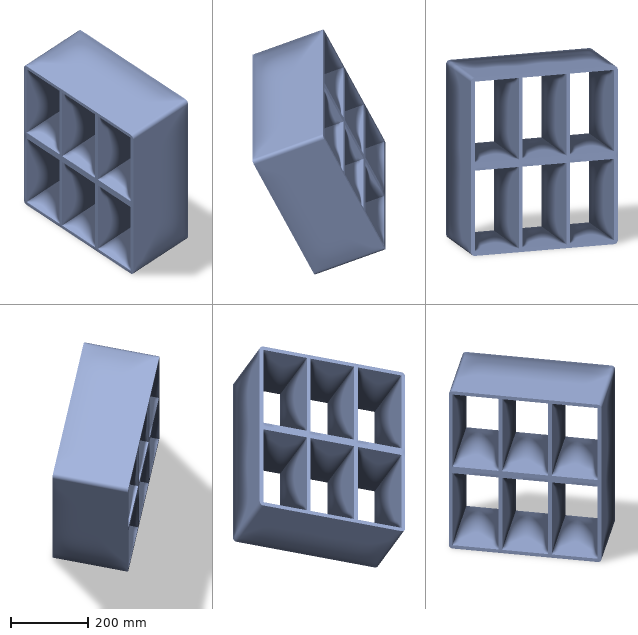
import cadquery as cq

width = 401.5
depth = 200.0
height = 476.0

wall = 10.0
middle_shelf = 2 * wall
corner_radius = 10.0

columns = 3
rows = 2
opening_width = (width - (columns + 1) * wall) / columns
opening_height = (height - 2 * wall - (rows - 1) * middle_shelf) / rows
column_pitch = opening_width + wall
row_pitch = opening_height + middle_shelf


def make_body():
    """Solid block with its four long edges rounded."""
    return cq.Workplane("XY").box(width, depth, height).edges("|Y").fillet(corner_radius)


def cut_compartments(body):
    """Cut the grid of rectangular openings through the full depth."""
    return (
        body.faces("<Y")
        .workplane(centerOption="CenterOfBoundBox")
        .rarray(column_pitch, row_pitch, columns, rows)
        .rect(opening_width, opening_height)
        .cutThruAll()
    )


result = cut_compartments(make_body())